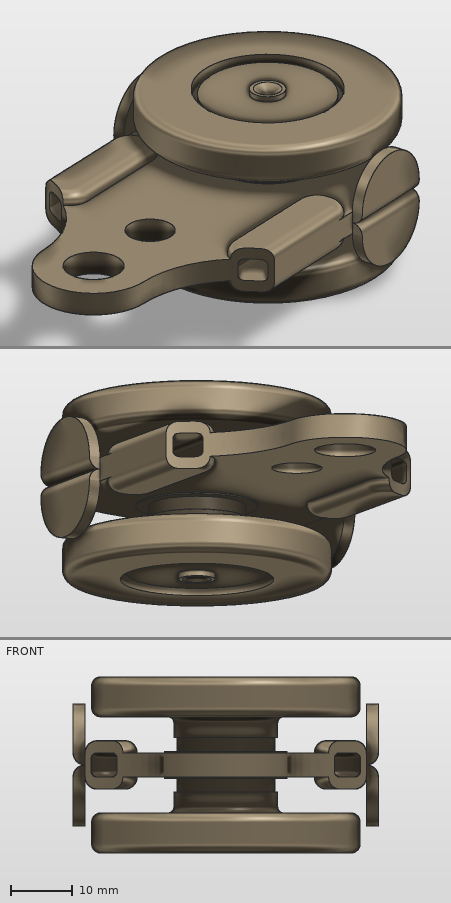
import cadquery as cq
import math

overall_length = 81.0
overall_width = 50.0
overall_height = 28.8

wheel_diameter = 44.0
wheel_thickness = 6.6
wheel_edge_radius = 1.5
hub_diameter = 17.0
hub_bottom = 4.45
hub_fillet = 1.0
neck_diameter = 16.0
washer_diameter = 20.0
washer_height = 0.25
recess_diameter = 25.0
recess_depth = 1.0
cover_diameter = 23.0
groove_depth = 1.0
pin_diameter = 6.0
cone_diameter = 4.7
cone_depth = 1.4

plate_thickness = 4.0
plate_half_width = 23.0
eye_radius = 10.05
eye_hole_diameter = 10.0
middle_hole_diameter = 8.2
middle_hole_y = -33.05
waist_radius = 20.0
plate_top_y = 14.1
shoulder_x = 22.6

tab_diameter = 16.0
tab_y = -0.3

rib_width = 8.5
rib_length = 26.3
rib_middle_y = -21.15
rib_corner_radius = 4.0
rib_height = 2 * plate_thickness
rib_wall = 1.0
hollow_edge_radius = 1.0

half_plate = plate_thickness / 2
half_height = overall_height / 2
wheel_bottom = half_height - wheel_thickness
eye_y = wheel_diameter / 2 + eye_radius - overall_length
tab_face_x = overall_width / 2
tab_radius = tab_diameter / 2
tab_top_y = tab_y + tab_radius
tab_bottom_y = tab_y - tab_radius


def cylinder(diameter, bottom, top):
    return cq.Workplane("XY").workplane(offset=bottom).circle(diameter / 2).extrude(top - bottom)


def both_sides(shape, plane):
    return shape.union(shape.mirror(plane))


def make_upper_wheel():
    wheel = cylinder(wheel_diameter, wheel_bottom, half_height).edges().fillet(wheel_edge_radius)
    hub = cylinder(hub_diameter, hub_bottom, wheel_bottom + hub_fillet)
    wheel = wheel.union(hub)
    hub_corner = cq.selectors.BoxSelector(
        (-hub_diameter, -hub_diameter, wheel_bottom - hub_fillet / 2),
        (hub_diameter, hub_diameter, wheel_bottom + hub_fillet / 2),
        boundingbox=True,
    )
    hub_edge = cq.selectors.RadiusNthSelector(0)
    wheel = wheel.edges(hub_corner).edges(hub_edge).fillet(hub_fillet)

    floor = half_height - recess_depth
    wheel = wheel.cut(cylinder(recess_diameter, floor - groove_depth, half_height))
    wheel = wheel.union(cylinder(cover_diameter, floor - groove_depth, floor))
    wheel = wheel.union(cylinder(pin_diameter, floor, half_height))
    cone = cq.Solid.makeCone(
        0, cone_diameter / 2, cone_depth, pnt=cq.Vector(0, 0, half_height - cone_depth)
    )
    return wheel.cut(cq.Workplane(cone))


def make_axle():
    neck = cylinder(neck_diameter, -hub_bottom, hub_bottom)
    washer_top = half_plate + washer_height
    return neck.union(cylinder(washer_diameter, -washer_top, washer_top))


def plate_blank(height):
    """Plate outline, symmetric about the YZ plane, extruded to the given full height."""
    waist_center_x = eye_radius + waist_radius
    side_angle = math.acos((waist_center_x - plate_half_width) / waist_radius)
    side_end_y = eye_y + waist_radius * math.sin(side_angle)
    waist_mid = (
        waist_center_x - waist_radius * math.cos(side_angle / 2),
        eye_y + waist_radius * math.sin(side_angle / 2),
    )
    outline = (
        cq.Workplane("XY")
        .workplane(offset=-height / 2)
        .moveTo(-shoulder_x, tab_top_y)
        .threePointArc((0, plate_top_y), (shoulder_x, tab_top_y))
        .lineTo(shoulder_x, tab_bottom_y)
        .lineTo(plate_half_width, tab_bottom_y)
        .lineTo(plate_half_width, side_end_y)
        .threePointArc(waist_mid, (eye_radius, eye_y))
        .threePointArc((0, eye_y - eye_radius), (-eye_radius, eye_y))
        .threePointArc((-waist_mid[0], waist_mid[1]), (-plate_half_width, side_end_y))
        .lineTo(-plate_half_width, tab_bottom_y)
        .lineTo(-shoulder_x, tab_bottom_y)
        .close()
    )
    return outline.extrude(height)


def round_flat_faces(bar, edge_radius):
    """Round the rims of a bar's top and bottom faces and move it to the +X rib position."""
    rounded = bar.faces("<Z or >Z").edges().fillet(edge_radius)
    return rounded.translate((plate_half_width - rib_width / 2, rib_middle_y, 0))


def make_rib():
    bar = cq.Workplane("XY").box(rib_width, rib_length, rib_height)
    return round_flat_faces(bar.edges("|Z").fillet(rib_corner_radius), half_plate)


def make_hollow():
    """Round-ended space inside the rib, one wall thickness in from the rib outline."""
    length = rib_length - 2 * rib_wall
    width = rib_width - 2 * rib_wall
    bar = cq.Workplane("XY").slot2D(length, width, 90).extrude(half_plate, both=True)
    return round_flat_faces(bar, hollow_edge_radius)


def make_plate():
    ribs = both_sides(make_rib(), "YZ").intersect(plate_blank(rib_height))
    plate = plate_blank(plate_thickness).union(ribs).cut(both_sides(make_hollow(), "YZ"))
    for diameter, y in ((eye_hole_diameter, eye_y), (middle_hole_diameter, middle_hole_y)):
        plate = plate.cut(cylinder(diameter, -half_plate, half_plate).translate((0, y, 0)))
    return plate


def make_right_tab():
    """Two half discs bent up and down from the plate edge, leaving a cusped groove between."""
    bend_radius = half_plate
    inner_x = tab_face_x - bend_radius
    arc_offset = bend_radius * math.sqrt(0.5)
    arc_x = inner_x + arc_offset
    arc_z = bend_radius - arc_offset
    root = (
        cq.Workplane("XZ", origin=(0, tab_top_y, 0))
        .moveTo(shoulder_x, -half_plate)
        .lineTo(tab_face_x, -half_plate)
        .threePointArc((arc_x, -arc_z), (inner_x, 0))
        .threePointArc((arc_x, arc_z), (tab_face_x, half_plate))
        .lineTo(shoulder_x, half_plate)
        .close()
        .extrude(tab_diameter)
    )
    half_disc = (
        cq.Workplane("YZ", origin=(inner_x, 0, 0))
        .moveTo(tab_bottom_y, half_plate)
        .threePointArc((tab_y, half_plate + tab_radius), (tab_top_y, half_plate))
        .close()
        .extrude(bend_radius)
    )
    return root.union(both_sides(half_disc, "XY"))


result = (
    make_plate()
    .union(make_axle())
    .union(both_sides(make_upper_wheel(), "XY"))
    .union(both_sides(make_right_tab(), "YZ"))
)